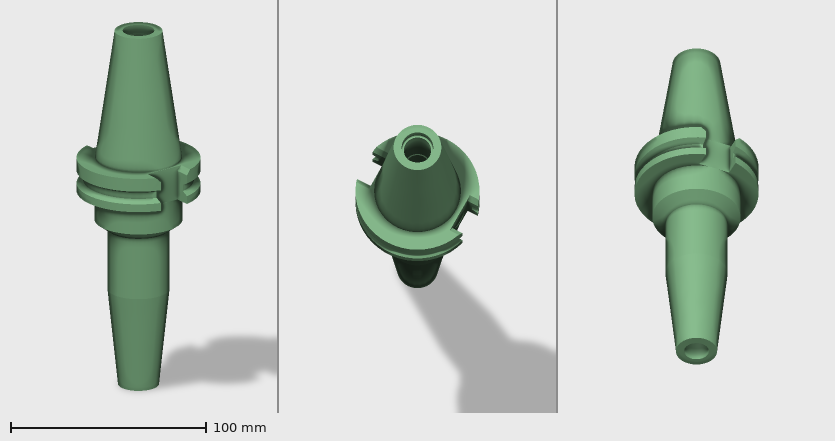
import cadquery as cq

total_length = 193.2

taper_length = 68.5
taper_large_diameter = 44.5
taper_ratio = 7 / 24
taper_small_diameter = taper_large_diameter - taper_ratio * taper_length
gauge_z = total_length - taper_length

flange_diameter = 63.5
flange_gap = 1.0
flange_top_z = gauge_z - flange_gap
flange_height = 18.2
flange_bottom_z = flange_top_z - flange_height
groove_floor_diameter = 56.8
groove_floor_height = 3.5
groove_bevel_height = 1.7
groove_middle_z = flange_bottom_z + 7.7

body_diameter = 45.2
body_bottom_z = 90.0
shank_diameter = 31.9
shank_top_z = 85.2
nose_top_z = 52.2
nose_end_diameter = 21.0

bore_diameter = 12.8
thread_bore_diameter = 14.0
thread_bore_depth = 31.0
pilot_bore_diameter = 16.2
pilot_bore_depth = 4.6

slot_width = 16.6
slot_floor_left = 24.7
slot_floor_right = 22.5
slot_chamfer = 2.5

recess_diameter = 10.0
recess_depth = 0.4


def turned_body():
    groove_half_floor = groove_floor_height / 2
    groove_half_mouth = groove_half_floor + groove_bevel_height
    profile = [
        (0, 0),
        (nose_end_diameter / 2, 0),
        (shank_diameter / 2, nose_top_z),
        (shank_diameter / 2, shank_top_z),
        (body_diameter / 2, body_bottom_z),
        (body_diameter / 2, flange_bottom_z),
        (flange_diameter / 2, flange_bottom_z),
        (flange_diameter / 2, groove_middle_z - groove_half_mouth),
        (groove_floor_diameter / 2, groove_middle_z - groove_half_floor),
        (groove_floor_diameter / 2, groove_middle_z + groove_half_floor),
        (flange_diameter / 2, groove_middle_z + groove_half_mouth),
        (flange_diameter / 2, flange_top_z),
        (taper_large_diameter / 2, flange_top_z),
        (taper_large_diameter / 2, gauge_z),
        (taper_small_diameter / 2, total_length),
        (0, total_length),
    ]
    return cq.Workplane("XZ").polyline(profile).close().revolve(360, (0, 0), (0, 1))


def drive_slot(floor_distance, side):
    """Slot through one side of the flange (side is -1 or +1 along X), chamfered at the top."""
    half_width = slot_width / 2
    half_mouth = half_width + slot_chamfer
    outline = [
        (-half_width, flange_bottom_z),
        (half_width, flange_bottom_z),
        (half_width, flange_top_z - slot_chamfer),
        (half_mouth, flange_top_z),
        (-half_mouth, flange_top_z),
        (-half_width, flange_top_z - slot_chamfer),
    ]
    slot = cq.Workplane("YZ").polyline(outline).close().extrude(side * flange_diameter)
    return slot.translate((side * floor_distance, 0, 0))


def slot_floor_recess():
    recess = cq.Workplane("YZ").center(0, groove_middle_z).circle(recess_diameter / 2).extrude(recess_depth)
    return recess.translate((-slot_floor_left, 0, 0))


def bore_from_top(diameter, depth):
    return cq.Workplane("XY").workplane(offset=total_length).circle(diameter / 2).extrude(-depth)


result = turned_body()
result = result.cut(drive_slot(slot_floor_left, -1))
result = result.cut(drive_slot(slot_floor_right, 1))
result = result.cut(slot_floor_recess())
result = result.cut(bore_from_top(bore_diameter, total_length))
result = result.cut(bore_from_top(thread_bore_diameter, thread_bore_depth))
result = result.cut(bore_from_top(pilot_bore_diameter, pilot_bore_depth))